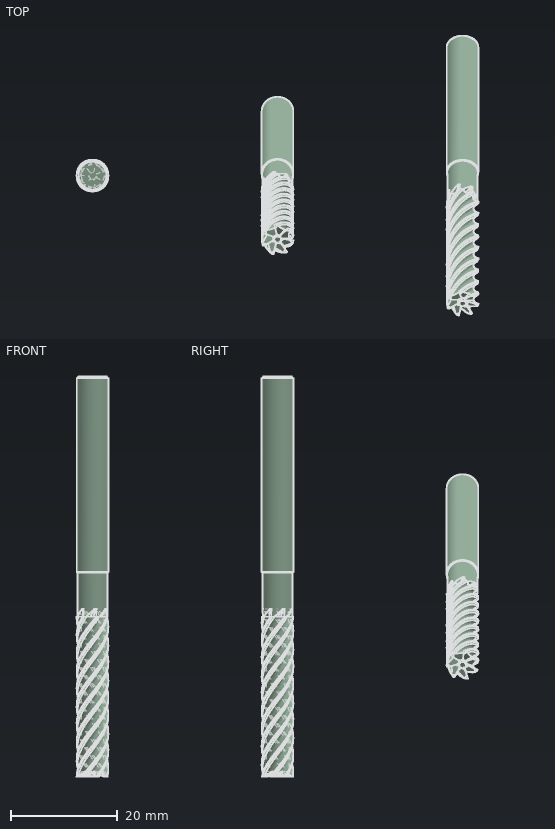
import cadquery as cq
import math

TOTAL_LENGTH = 75.0
CUTTER_DIAMETER = 6.0
SHANK_DIAMETER = 6.0
NECK_DIAMETER = 5.7
CORE_DIAMETER = 4.2
CUTTING_LENGTH = 30.0
SHANK_START = 38.4
SHANK_CHAMFER = 0.4

FLUTE_COUNT = 7
HELIX_LEAD = 23.25
FIRST_EDGE_ANGLE = 25.0
RUNOUT_HEIGHT = 1.5
RUNOUT_FLOOR_START = 27.0
RUNOUT_FLOOR_END = 42.0
RUNOUT_WALL_OFFSET = 6.0
RUNOUT_TIP_ANGLE = 16.0
RUNOUT_TIP_RADIUS = 2.7

CLEARANCE = 0.75

GASH_DEPTH = 1.05
GASH_WIDTH = 1.8
GASH_INNER_RADIUS = 0.6

LAND_ANGLE = 6.0
RELIEF_ANGLE = 14.0
RELIEF_DROP = 0.2
FLOOR_ANGLE = 35.0

CUTTER_RADIUS = CUTTER_DIAMETER / 2
SHANK_RADIUS = SHANK_DIAMETER / 2
NECK_RADIUS = NECK_DIAMETER / 2
CORE_RADIUS = CORE_DIAMETER / 2
NECK_STEP = SHANK_RADIUS - NECK_RADIUS
TOOTH_PITCH = 360.0 / FLUTE_COUNT
CLEAR_RADIUS = CUTTER_RADIUS + CLEARANCE


def twist(height):
    """Helix rotation in degrees over an axial height."""
    return 360.0 * height / HELIX_LEAD


def polar(radius, angle):
    """Point at a radius and an angle in degrees."""
    return radius * math.cos(math.radians(angle)), radius * math.sin(math.radians(angle))


def tooth_edge_angle(index):
    """Angle of a tooth's cutting edge at the tip."""
    return FIRST_EDGE_ANGLE + index * TOOTH_PITCH


def end_gash(index):
    """Radial wedge in the end face, upright along the cutting edge and sloping away from it."""
    edge = tooth_edge_angle(index)
    radial_plane = cq.Plane(
        origin=(*polar(GASH_INNER_RADIUS, edge), 0),
        xDir=(*polar(1, edge - 90), 0),
        normal=(*polar(1, edge), 0),
    )
    return (
        cq.Workplane(radial_plane)
        .polyline([(0, 0), (0, -GASH_DEPTH), (GASH_WIDTH, 0)])
        .close()
        .extrude(CLEAR_RADIUS - GASH_INNER_RADIUS)
    )


def make_cutter():
    """Cutting part: helical teeth around a solid core, with gashes in the end face."""
    outline = cq.Workplane("XY").moveTo(*polar(CUTTER_RADIUS, tooth_edge_angle(0)))
    for index in range(FLUTE_COUNT):
        edge = tooth_edge_angle(index)
        outline = (
            outline
            .threePointArc(polar(CUTTER_RADIUS, edge + LAND_ANGLE / 2), polar(CUTTER_RADIUS, edge + LAND_ANGLE))
            .lineTo(*polar(CUTTER_RADIUS - RELIEF_DROP, edge + RELIEF_ANGLE))
            .threePointArc(polar(CORE_RADIUS, edge + FLOOR_ANGLE), polar(CUTTER_RADIUS, edge + TOOTH_PITCH))
        )
    body = outline.close().twistExtrude(CUTTING_LENGTH, twist(CUTTING_LENGTH))
    for index in range(FLUTE_COUNT):
        body = body.cut(end_gash(index))
    return body


def flute_runout(index):
    """Shrinking end of one flute: straight wall under the next edge, back and floor closing on it."""
    edge = tooth_edge_angle(index) + twist(CUTTING_LENGTH)
    wall = edge + TOOTH_PITCH + RUNOUT_WALL_OFFSET
    return (
        cq.Workplane("XY", origin=(0, 0, CUTTING_LENGTH))
        .polyline([
            polar(CLEAR_RADIUS, edge + LAND_ANGLE),
            polar(CORE_RADIUS, edge + RUNOUT_FLOOR_START),
            polar(CORE_RADIUS, edge + RUNOUT_FLOOR_END),
            polar(CLEAR_RADIUS, wall),
        ])
        .close()
        .workplane(offset=RUNOUT_HEIGHT)
        .polyline([
            polar(CLEAR_RADIUS, wall - RUNOUT_TIP_ANGLE),
            polar(RUNOUT_TIP_RADIUS, wall - RUNOUT_TIP_ANGLE * 2 / 3),
            polar(RUNOUT_TIP_RADIUS, wall - RUNOUT_TIP_ANGLE / 3),
            polar(CLEAR_RADIUS, wall),
        ])
        .close()
        .loft(ruled=True)
    )


def make_shank():
    """Clamping part: chamfered shank, short cone and neck with the flute run-outs."""
    body = (
        cq.Workplane("XZ")
        .moveTo(0, CUTTING_LENGTH)
        .lineTo(NECK_RADIUS, CUTTING_LENGTH)
        .lineTo(NECK_RADIUS, SHANK_START - NECK_STEP)
        .lineTo(SHANK_RADIUS, SHANK_START)
        .lineTo(SHANK_RADIUS, TOTAL_LENGTH - SHANK_CHAMFER)
        .lineTo(SHANK_RADIUS - SHANK_CHAMFER, TOTAL_LENGTH)
        .lineTo(0, TOTAL_LENGTH)
        .close()
        .revolve(360, (0, 0, 0), (0, 1, 0))
    )
    for index in range(FLUTE_COUNT):
        body = body.cut(flute_runout(index))
    return body


cutter = make_cutter()
shank = make_shank()

result = cq.Compound.makeCompound([cutter.val(), shank.val()])